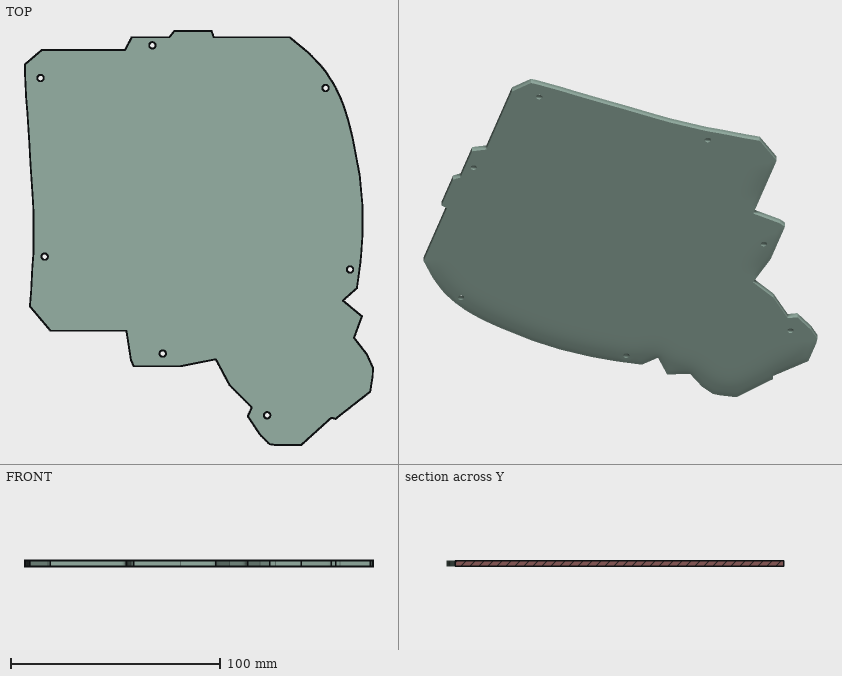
import cadquery as cq

length = 198.0
width = 166.5
thickness = 3.0
hole_diameter = 3.0

top_edge = 195.0
left_shoulder = 188.8
left_bottom = 54.6
middle_bottom = 37.6

top_points = [
    (0.0, 181.9),
    (8.1, left_shoulder),
    (47.9, left_shoulder),
    (51.0, top_edge),
    (69.0, top_edge),
    (71.5, length),
    (89.3, length),
    (90.3, top_edge),
    (126.5, top_edge),
]

right_curve_points = [
    (135.4, 187.6),
    (143.7, 178.5),
    (152.0, 163.0),
    (156.5, 147.3),
    (160.1, 128.3),
    (161.5, 109.6),
    (160.7, 90.5),
    (158.7, 75.0),
]

lobe_points = [
    (152.0, 69.0),
    (161.1, 61.5),
    (157.3, 51.3),
    (163.5, 43.3),
    (width, 36.8),
    (166.3, 33.0),
    (165.0, 25.5),
    (150.5, 14.0),
    (148.5, 12.5),
    (146.5, 13.0),
    (132.0, 0.0),
    (119.7, 0.0),
    (117.0, 0.4),
    (112.2, 5.1),
    (106.5, 13.9),
    (108.5, 18.0),
    (97.8, 28.7),
]

bottom_points = [
    (91.2, 41.0),
    (74.2, middle_bottom),
    (52.0, middle_bottom),
    (50.7, 40.5),
    (48.5, left_bottom),
    (12.3, left_bottom),
    (11.0, 56.0),
]

left_points = [
    (2.4, 66.3),
    (3.0, 73.5),
    (3.5, 85.1),
    (4.2, 92.6),
    (4.2, 110.5),
    (3.8, 118.0),
    (3.0, 129.6),
    (2.5, 135.8),
    (2.2, 143.3),
    (1.2, 159.0),
    (0.5, 165.9),
    (0.0, 178.1),
]

hole_centers = [
    (7.5, 175.4),
    (61.0, 191.0),
    (143.7, 170.6),
    (155.4, 84.0),
    (115.8, 14.3),
    (66.0, 43.7),
    (9.5, 90.0),
]


def make_plate():
    """Extrude the closed outline, traced clockwise from the upper left corner."""
    outline = cq.Workplane("XY").polyline(top_points)
    outline = outline.spline(right_curve_points, includeCurrent=True)
    straight_run = lobe_points + bottom_points + left_points
    outline = outline.polyline(straight_run, includeCurrent=True)
    return outline.close().extrude(thickness)


def drill_holes(plate):
    """Drill the fixing holes through the full thickness."""
    drills = cq.Workplane("XY").pushPoints(hole_centers).circle(hole_diameter / 2).extrude(thickness)
    return plate.cut(drills)


result = drill_holes(make_plate())